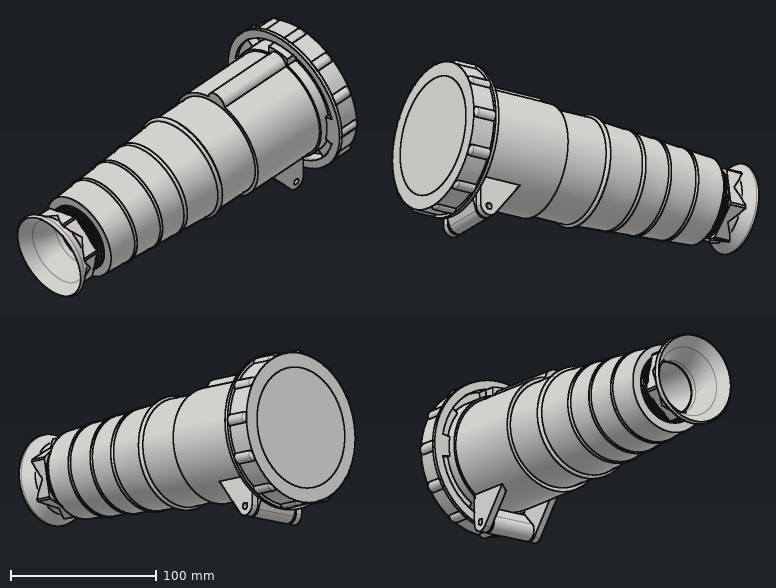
import cadquery as cq
import math


ring_radius = 54.5
grip_base_radius = 52.3
plate_front = 16.5
plate_back = 19.0
grip_count = 12
grip_radius = 4.5
grip_end_fillet = 2.5
recess_radius = 48.0
recess_depth = 2.5
deep_recess_depth = 9.9
narrow_tab_half_angle = 9.5
wide_tab_half_angle = 14.0
deep_zones = [(101, 142), (240, 318)]

flange_radius = 42.2
flange_back = 24.7
barrel_radius = 40.7
barrel_back = 84.4
key_half_width = 9.1
key_radius = recess_radius
ridge_radius = 8.1
ridge_top = 46.6

hinge_station = 30.5
hinge_height = -54.0
hinge_radius = 6.7
hinge_hole_radius = 2.2
lug_inner = 18.5
lug_outer = 24.0
lug_front = 23.7
lug_root_height = -29.5
lug_slope_angle = 38.5
knuckle_half_width = 17.0
knuckle_top = -barrel_radius
knuckle_front_angle = 19.0
knuckle_back_angle = 45.0

sleeve_radius = 38.0
taper_start_radius = 37.7
taper_end_radius = 31.3
collar_front = 117.2
collar_back = 120.5
collar_radius = 40.0
sleeve_back = 217.5
rib_height = 0.7
ribs = [(148.3, 151.2), (170.7, 173.0), (194.0, 196.1)]
cable_hole_radius = 8.0
entry_radius = 18.5
entry_front = collar_back

thread_radius = 24.7
thread_depth = 1.0
thread_pitch = 2.7
thread_count = 3
thread_lead_in = 0.7
thread_flank = 0.7
thread_root = 0.5
hex_front = 226.2
hex_flats = 49.0
hex_corner_radius = 28.0
hex_turn = 19.0
flare_front = 230.7
flare_tangent = 236.0
flare_tangent_radius = 26.0
lip_radius = 31.8
lip_bulge = 0.2
lip_front = 244.0
lip_middle = 245.5
nut_back = 246.7
mouth_radius = 30.8
mouth_cone_radius = 24.5
mouth_cone_front = 238.8
throat_radius = 19.0
throat_back = 222.0


def cylinder(radius, front, back):
    """Cylinder about the connector axis between two stations."""
    return cq.Workplane("XZ").workplane(offset=front).circle(radius).extrude(back - front)


def turned(profile):
    """Revolve a closed outline of (radius, -station) points about the connector axis."""
    return profile.close().revolve(360, (0, 0, 0), (0, 1, 0))


def sector(radius, center_angle, half_angle, front, back):
    """Pie-shaped prism from the axis out to a radius, angles measured from +X toward +Z."""
    points = []
    for angle in (center_angle - half_angle, center_angle, center_angle + half_angle):
        turn = math.radians(angle)
        points.append((radius * math.cos(turn), radius * math.sin(turn)))
    outline = cq.Workplane("XZ").workplane(offset=front).lineTo(*points[0])
    return outline.threePointArc(points[1], points[2]).close().extrude(back - front)


def build_ring():
    """Coupling ring with grips outside and a bayonet recess, broken by two tabs, in its back face."""
    ring = cylinder(grip_base_radius, 0, plate_back)
    ring = ring.union(cylinder(ring_radius, plate_front, plate_back))
    for index in range(grip_count):
        turn = 360 / grip_count * index
        grip = (
            cq.Workplane("XZ")
            .center(0, ring_radius - grip_radius)
            .circle(grip_radius)
            .extrude(plate_front)
            .faces(">Y")
            .edges()
            .fillet(grip_end_fillet)
        )
        ring = ring.union(grip.rotate((0, 0, 0), (0, 1, 0), turn))

    recess_front = plate_back - recess_depth
    recess = cylinder(recess_radius, recess_front, plate_back)
    recess = recess.cut(sector(ring_radius, 180, narrow_tab_half_angle, recess_front, plate_back))
    recess = recess.cut(sector(ring_radius, 0, wide_tab_half_angle, recess_front, plate_back))
    ring = ring.cut(recess)

    deep_front = plate_back - deep_recess_depth
    for start, end in deep_zones:
        middle = (start + end) / 2
        ring = ring.cut(sector(recess_radius, middle, (end - start) / 2, deep_front, plate_back))
    return ring.cut(cylinder(flange_radius, 0, plate_back))


def hinge_hole():
    """Pin hole shared by both lugs and the knuckle."""
    return (
        cq.Workplane("YZ")
        .center(-hinge_station, hinge_height)
        .circle(hinge_hole_radius)
        .extrude(lug_outer, both=True)
    )


def build_lug(inner):
    """Hinge lug whose inner face is at X = inner."""
    slope = math.radians(lug_slope_angle)
    tangent = (
        -hinge_station - hinge_radius * math.cos(slope),
        hinge_height - hinge_radius * math.sin(slope),
    )
    root_back = tangent[0] - (lug_root_height - tangent[1]) * math.tan(slope)
    return (
        cq.Workplane("YZ")
        .workplane(offset=inner)
        .moveTo(-lug_front, lug_root_height)
        .lineTo(-lug_front, hinge_height)
        .threePointArc((-hinge_station, hinge_height - hinge_radius), tangent)
        .lineTo(root_back, lug_root_height)
        .close()
        .extrude(lug_outer - lug_inner)
    )


def build_housing():
    """Flange, barrel, key, ridge and the two hinge lugs."""
    housing = cylinder(flange_radius, 0, flange_back)
    housing = housing.union(cylinder(barrel_radius, flange_back, barrel_back))
    key_front = plate_back - recess_depth
    key_length = flange_back - key_front
    key = (
        cq.Workplane("XY")
        .box(2 * key_half_width, key_length, key_radius, centered=(True, False, False))
        .translate((0, -flange_back, 0))
        .intersect(cylinder(key_radius, key_front, flange_back))
    )
    ridge = (
        cq.Workplane("XZ")
        .workplane(offset=flange_back)
        .center(0, ridge_top - ridge_radius)
        .circle(ridge_radius)
        .extrude(barrel_back - flange_back)
    )
    housing = housing.union(key).union(ridge)
    for inner in (lug_inner, -lug_outer):
        housing = housing.union(build_lug(inner))
    return housing.cut(hinge_hole())


def build_knuckle():
    """Wedge-shaped hinge knuckle hugging the underside of the flange."""
    front = math.radians(knuckle_front_angle)
    back = math.radians(knuckle_back_angle)
    front_tangent = (
        -hinge_station + hinge_radius * math.cos(front),
        hinge_height - hinge_radius * math.sin(front),
    )
    back_tangent = (
        -hinge_station - hinge_radius * math.cos(back),
        hinge_height + hinge_radius * math.sin(back),
    )
    front_top = front_tangent[0] + (knuckle_top - front_tangent[1]) * math.tan(front)
    back_top = back_tangent[0] + (knuckle_top - back_tangent[1]) * math.tan(back)
    knuckle = (
        cq.Workplane("YZ")
        .moveTo(min(front_top, -plate_back), knuckle_top)
        .lineTo(*front_tangent)
        .threePointArc((-hinge_station, hinge_height - hinge_radius), back_tangent)
        .lineTo(back_top, knuckle_top)
        .close()
        .extrude(knuckle_half_width, both=True)
    )
    return knuckle.cut(cylinder(flange_radius, plate_back, flange_back)).cut(hinge_hole())


def taper_radius(station):
    """Radius of the tapered part of the sleeve at a station."""
    share = (station - collar_back) / (sleeve_back - collar_back)
    return taper_start_radius + share * (taper_end_radius - taper_start_radius)


def build_sleeve():
    """Hollow tapered sleeve with a rounded collar and ribs."""
    collar_middle = (collar_front + collar_back) / 2
    profile = (
        cq.Workplane("XY")
        .moveTo(cable_hole_radius, -barrel_back)
        .lineTo(sleeve_radius, -barrel_back)
        .lineTo(sleeve_radius, -collar_front)
        .threePointArc((collar_radius, -collar_middle), (taper_start_radius, -collar_back))
    )
    for front, back in ribs:
        middle = (front + back) / 2
        profile = profile.lineTo(taper_radius(front), -front).threePointArc(
            (taper_radius(middle) + rib_height, -middle), (taper_radius(back), -back)
        )
    profile = profile.lineTo(taper_end_radius, -sleeve_back).lineTo(entry_radius, -sleeve_back)
    profile = profile.lineTo(entry_radius, -entry_front).lineTo(cable_hole_radius, -entry_front)
    return turned(profile)


def threaded_shank():
    """Shank with the thread formed as evenly spaced ring grooves."""
    shank = cylinder(thread_radius, sleeve_back, hex_front)
    for index in range(thread_count):
        front = sleeve_back + thread_lead_in + index * thread_pitch
        groove = turned(
            cq.Workplane("XY")
            .moveTo(thread_radius, -front)
            .lineTo(thread_radius - thread_depth, -(front + thread_flank))
            .lineTo(thread_radius - thread_depth, -(front + thread_flank + thread_root))
            .lineTo(thread_radius, -(front + 2 * thread_flank + thread_root))
        )
        shank = shank.cut(groove)
    return shank


def bell_bore():
    """Through bore: throat, concave arc and conical mouth."""
    return turned(
        cq.Workplane("XY")
        .moveTo(0, -sleeve_back)
        .lineTo(throat_radius, -sleeve_back)
        .lineTo(throat_radius, -throat_back)
        .tangentArcPoint((mouth_cone_radius, -mouth_cone_front), relative=False)
        .lineTo(mouth_radius, -nut_back)
        .lineTo(0, -nut_back)
    )


def build_nut():
    """Gland nut: grooved shank, hexagon and flared bell mouth."""
    hexagon = (
        cq.Workplane("XZ")
        .workplane(offset=hex_front)
        .polygon(6, hex_flats / math.cos(math.pi / 6))
        .extrude(lip_front - hex_front)
        .rotate((0, 0, 0), (0, 1, 0), -hex_turn)
        .intersect(cylinder(hex_corner_radius, hex_front, lip_front))
    )
    rise = flare_tangent_radius - hex_flats / 2
    run = flare_tangent - flare_front
    arc_radius = (run**2 + rise**2) / (2 * rise)
    half_sweep = math.atan(rise / run)
    flare_middle = (
        hex_flats / 2 + arc_radius * (1 - math.cos(half_sweep)),
        -flare_front - arc_radius * math.sin(half_sweep),
    )
    flare = turned(
        cq.Workplane("XY")
        .moveTo(0, -flare_front)
        .lineTo(hex_flats / 2, -flare_front)
        .threePointArc(flare_middle, (flare_tangent_radius, -flare_tangent))
        .lineTo(lip_radius, -lip_front)
        .threePointArc((lip_radius + lip_bulge, -lip_middle), (mouth_radius, -nut_back))
        .lineTo(0, -nut_back)
    )
    nut = threaded_shank().union(hexagon).union(flare)
    return nut.cut(bell_bore())


ring = build_ring()
housing = build_housing()
knuckle = build_knuckle()
sleeve = build_sleeve()
nut = build_nut()

result = cq.Compound.makeCompound(
    [ring.val(), housing.val(), knuckle.val(), sleeve.val(), nut.val()]
)